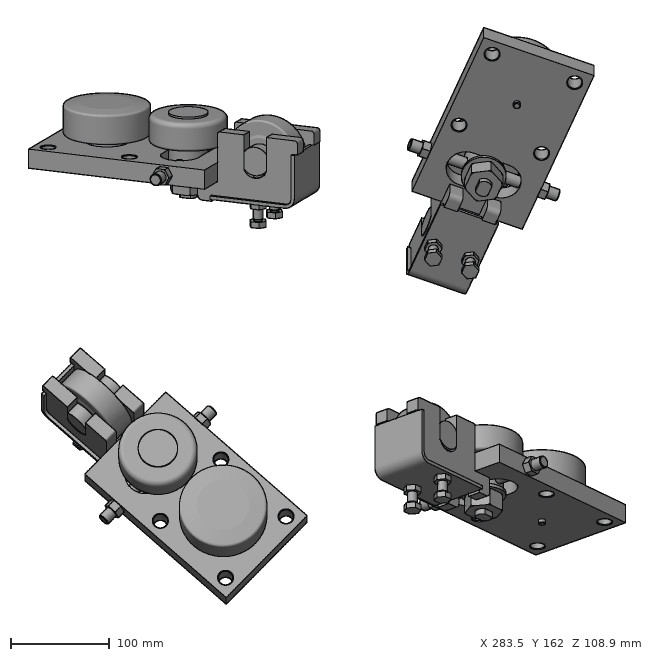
import cadquery as cq
import math


plate_length = 195.0
plate_width = 120.2
plate_thickness = 20.0
mount_hole_pitch = 90.0
mount_hole_first_x = 15.0
mount_hole_diameter = 14.5
mount_hole_chamfer = 0.9

fixed_x = mount_hole_first_x + mount_hole_pitch / 2
fixed_radius = 44.2
fixed_bottom = 28.4
fixed_shoulder = 59.0
fixed_crown_top = 60.7
fixed_crown_radius = 26.6
fixed_top_fillet = 2.3
fixed_bottom_fillet = 1.5
fixed_stem_radius = 22.0
locating_pin_radius = 3.7
locating_pin_drop = 4.3
locating_pin_chamfer = 0.9

sliding_x = 150.0
sliding_radius = 39.7
sliding_bottom = 30.0
sliding_top = 59.0
sliding_top_fillet = 5.0
sliding_bottom_fillet = 2.5
stem_diameter = 40.0
stem_top = 61.0
slide_travel = 19.3
washer_radius = 22.7
washer_thickness = 3.5
clamp_nut_corners = 39.0
clamp_nut_height = 18.5
clamp_nut_chamfer = 1.0
stub_radius = 8.8
stub_length = 6.0
stub_flats = 13.3

set_screw_radius = 6.2
set_screw_span = 162.0
set_screw_chamfer = 0.9
set_screw_z = 10.0
set_nut_corners = 19.0
set_nut_height = 8.5
small_nut_chamfer = 0.5

cheek_inner_y = 13.3
cheek_outer_y = 27.8
cheek_thickness = cheek_outer_y - cheek_inner_y
cheek_right = 283.5
cheek_top = 52.2
cheek_bottom = -21.5
foot_left = sliding_x + washer_radius
foot_right = 188.2
foot_fillet = 5.5
cheek_left_fillet = 2.3
cheek_right_fillet = 3.5

strip_thickness = 3.7
strip_right = 281.5
strip_bottom = -18.7
strip_top = 37.7
strip_half_width = 31.5
strip_bend_radius = 10.8
strip_inner_right = strip_right - strip_thickness
strip_inner_bottom = strip_bottom + strip_thickness
inner_bend = strip_bend_radius - strip_thickness
bend_x = strip_right - strip_bend_radius
bend_z = strip_bottom + strip_bend_radius

wheel_x = 236.5
wheel_z = 25.0
wheel_radius = 39.7
wheel_half_width = 12.5
wheel_fillet = 2.0
hub_base_radius = 24.0
hub_end_radius = 21.3
axle_radius = 15.5
axle_flats = 25.0
axle_flat_bottom = 16.7
axle_bottom = 10.8
slot_floor = 8.0

bolt_y = 20.0
bolt_radius = 5.0
bolt_neck_radius = 4.5
bolt_hex_corners = 18.0
bolt_nut_height = 6.0
bolt_shank_end = -35.7
bolt_neck_top = -36.5
bolt_head_top = -38.0
bolt_head_bottom = -44.2


def revolve_about_z(profile, x):
    """Solid of revolution about the vertical line at x, from (radius, z) points."""
    return cq.Workplane("XZ", origin=(x, 0, 0)).polyline(profile).close().revolve(360, (0, 0, 0), (0, 1, 0))


def hex_nut(corners, height, chamfer, chamfered_ends=">Z"):
    """Hexagonal prism on the XY plane, growing along +Z, with corners turned down at the chosen ends."""
    turned = cq.Workplane("XY").circle(corners / 2).extrude(height)
    turned = turned.faces(chamfered_ends).edges().chamfer(chamfer)
    return cq.Workplane("XY").polygon(6, corners).extrude(height).intersect(turned)


def cylinder_z(x, radius, bottom, top):
    return cq.Workplane("XY", origin=(x, 0, bottom)).circle(radius).extrude(top - bottom)


def cheek_position(side):
    """Largest Y of the cheek on the given side; XZ extrusions run from here toward -Y."""
    return cheek_outer_y if side > 0 else -cheek_inner_y


def make_plate():
    plate = cq.Workplane("XY").box(plate_length, plate_width, plate_thickness, centered=(False, True, False))
    holes = [
        (mount_hole_first_x + i * mount_hole_pitch, side * mount_hole_pitch / 2)
        for i in range(2)
        for side in (-1, 1)
    ]
    drill = cq.Workplane("XY").pushPoints(holes).circle(mount_hole_diameter / 2).extrude(plate_thickness)
    plate = plate.cut(drill)
    plate = plate.faces(">Z or <Z").edges("%CIRCLE").chamfer(mount_hole_chamfer)
    slot = (
        cq.Workplane("XY", origin=(sliding_x, 0, 0))
        .slot2D(2 * slide_travel + stem_diameter, stem_diameter, 90)
        .extrude(plate_thickness)
    )
    return plate.cut(slot)


def make_fixed_roller():
    roller = revolve_about_z(
        [
            (0, fixed_bottom),
            (fixed_radius, fixed_bottom),
            (fixed_radius, fixed_shoulder),
            (fixed_crown_radius, fixed_crown_top),
            (0, fixed_crown_top),
        ],
        fixed_x,
    )
    roller = roller.faces("<Z").edges().fillet(fixed_bottom_fillet)
    rim = cq.selectors.RadiusNthSelector(-1)
    roller = roller.faces("%CONE").edges(rim).fillet(fixed_top_fillet)
    stem = cylinder_z(fixed_x, fixed_stem_radius, plate_thickness, fixed_bottom)
    pin = cylinder_z(fixed_x, locating_pin_radius, -locating_pin_drop, 0)
    pin = pin.faces("<Z").edges().chamfer(locating_pin_chamfer)
    return roller.union(stem).union(pin)


def make_set_screw(side):
    """Screw with lock nut, from the sliding stem outward along side * Y."""
    tip = stem_diameter / 2
    screw = cylinder_z(0, set_screw_radius, tip, set_screw_span / 2)
    screw = screw.faces(">Z").edges().chamfer(set_screw_chamfer)
    nut = hex_nut(set_nut_corners, set_nut_height, small_nut_chamfer)
    screw = screw.union(nut.translate((0, 0, plate_width / 2)))
    return screw.rotate((0, 0, 0), (1, 0, 0), -90 * side).translate((sliding_x, 0, set_screw_z))


def make_cheek(side):
    outline = (
        cq.Workplane("XZ", origin=(0, cheek_position(side), 0))
        .moveTo(foot_left, 0)
        .lineTo(foot_left, cheek_bottom + foot_fillet)
        .radiusArc((foot_left + foot_fillet, cheek_bottom), -foot_fillet)
        .lineTo(foot_right, cheek_bottom)
        .lineTo(foot_right, strip_inner_bottom)
        .lineTo(bend_x, strip_inner_bottom)
        .radiusArc((strip_inner_right, bend_z), -inner_bend)
        .lineTo(strip_inner_right, strip_top)
        .lineTo(cheek_right, strip_top)
        .lineTo(cheek_right, cheek_top - cheek_right_fillet)
        .radiusArc((cheek_right - cheek_right_fillet, cheek_top), -cheek_right_fillet)
        .lineTo(plate_length + cheek_left_fillet, cheek_top)
        .radiusArc((plate_length, cheek_top - cheek_left_fillet), -cheek_left_fillet)
        .lineTo(plate_length, 0)
        .close()
    )
    return outline.extrude(cheek_thickness).cut(make_axle_slot(side))


def make_axle_slot(side):
    half = axle_flats / 2
    return (
        cq.Workplane("XZ", origin=(wheel_x, cheek_position(side), 0))
        .moveTo(-half, cheek_top)
        .lineTo(-half, axle_flat_bottom)
        .threePointArc((0, slot_floor), (half, axle_flat_bottom))
        .lineTo(half, cheek_top)
        .close()
        .extrude(cheek_thickness)
    )


def make_strip():
    return (
        cq.Workplane("XZ", origin=(0, strip_half_width, 0))
        .moveTo(foot_right, strip_bottom)
        .lineTo(bend_x, strip_bottom)
        .radiusArc((strip_right, bend_z), -strip_bend_radius)
        .lineTo(strip_right, strip_top)
        .lineTo(strip_inner_right, strip_top)
        .lineTo(strip_inner_right, bend_z)
        .radiusArc((bend_x, strip_inner_bottom), inner_bend)
        .lineTo(foot_right, strip_inner_bottom)
        .close()
        .extrude(2 * strip_half_width)
    )


def make_adjusting_bolt(side):
    """Bolt that rises through the strip and a cheek until its tip meets the axle."""
    shank = revolve_about_z(
        [
            (0, axle_bottom),
            (bolt_radius, axle_bottom),
            (bolt_radius, bolt_shank_end),
            (bolt_neck_radius, bolt_neck_top),
            (bolt_neck_radius, bolt_head_top),
            (0, bolt_head_top),
        ],
        0,
    )
    head = cq.Workplane("XY", origin=(0, 0, bolt_head_bottom)).polygon(6, bolt_hex_corners)
    head = head.extrude(bolt_head_top - bolt_head_bottom)
    nut = hex_nut(bolt_hex_corners, bolt_nut_height, small_nut_chamfer)
    nut = nut.rotate((0, 0, 0), (1, 0, 0), 180).translate((0, 0, strip_bottom))
    return shank.union(head).union(nut).translate((wheel_x, side * bolt_y, 0))


def make_carriage():
    carriage = make_plate().union(make_fixed_roller()).union(make_strip())
    for side in (-1, 1):
        carriage = carriage.union(make_cheek(side))
        carriage = carriage.union(make_set_screw(side))
        carriage = carriage.union(make_adjusting_bolt(side))
    return carriage


def make_sliding_roller():
    roller = cylinder_z(sliding_x, sliding_radius, sliding_bottom, sliding_top)
    roller = roller.faces(">Z").edges().fillet(sliding_top_fillet)
    roller = roller.faces("<Z").edges().fillet(sliding_bottom_fillet)
    stem = cylinder_z(sliding_x, stem_diameter / 2, 0, stem_top)
    washer = cylinder_z(sliding_x, washer_radius, -washer_thickness, 0)
    nut_bottom = -washer_thickness - clamp_nut_height
    nut = hex_nut(clamp_nut_corners, clamp_nut_height, clamp_nut_chamfer, chamfered_ends="|Z")
    nut = nut.translate((sliding_x, 0, nut_bottom))
    stub = cylinder_z(sliding_x, stub_radius, nut_bottom - stub_length, nut_bottom)
    flats = cq.Workplane("XY", origin=(sliding_x, 0, nut_bottom - stub_length))
    flats = flats.rect(2 * stub_radius, stub_flats).extrude(stub_length)
    return roller.union(stem).union(washer).union(nut).union(stub.intersect(flats))


def make_wheel():
    tread = cylinder_z(0, wheel_radius, -wheel_half_width, wheel_half_width)
    tread = tread.edges().fillet(wheel_fillet)
    hub = revolve_about_z(
        [
            (0, -cheek_inner_y),
            (hub_end_radius, -cheek_inner_y),
            (hub_base_radius, -wheel_half_width),
            (hub_base_radius, wheel_half_width),
            (hub_end_radius, cheek_inner_y),
            (0, cheek_inner_y),
        ],
        0,
    )
    wheel = tread.union(hub).rotate((0, 0, 0), (1, 0, 0), 90).translate((wheel_x, 0, wheel_z))
    return wheel.union(make_axle())


def make_axle():
    """Axle with flat sides that slide in the cheek slots and rounded top and bottom."""
    half = axle_flats / 2
    flat_top = wheel_z + math.sqrt(axle_radius ** 2 - half ** 2)
    return (
        cq.Workplane("XZ", origin=(wheel_x, cheek_outer_y, 0))
        .moveTo(-half, axle_flat_bottom)
        .threePointArc((0, axle_bottom), (half, axle_flat_bottom))
        .lineTo(half, flat_top)
        .threePointArc((0, wheel_z + axle_radius), (-half, flat_top))
        .close()
        .extrude(2 * cheek_outer_y)
    )


carriage = make_carriage()
sliding_roller = make_sliding_roller()
wheel = make_wheel()

result = cq.Compound.makeCompound([carriage.solids().val(), sliding_roller.solids().val(), wheel.solids().val()])